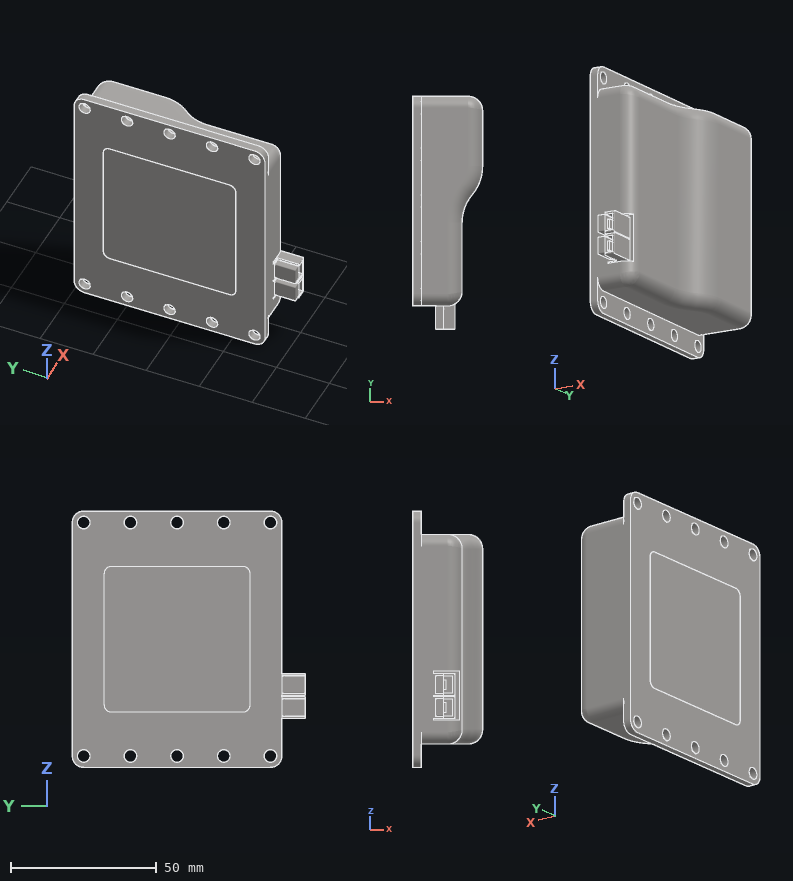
import cadquery as cq
import math

plate_thickness = 3.0
plate_width = 72.0
plate_height = 88.0
corner_radius = 4.0
hole_diameter = 4.2
hole_inset = 4.0
holes_per_row = 5

housing_height = plate_width
thin_depth = 17.0
full_depth = 24.0
rim_radius = 5.0
step_radius = 15.0
thin_length = 28.6

panel_size = 50.0
panel_radius = 2.5
panel_depth = 0.1

window_near = 7.0
window_far = 16.0
window_top = -10.8
window_bottom = -27.6
window_depth = 2.2

connector_reach = 8.0
unit_height = 7.6
unit_gap = 0.3
connector_top = -11.8
tongue_near = 7.7
tongue_height = 6.2
tip_edge_radius = 0.33
hood_near = 10.6
hood_far = 14.5
hood_wall = 0.9
cavity_depth = 7.0
blade_thickness = 0.8
blade_height = 3.3
blade_setback = 1.8

wall_y = -plate_width / 2
connector_tip = wall_y - connector_reach
window_floor = wall_y + window_depth


def block(x_range, y_range, z_range):
    """Axis-aligned block between pairs of limits given low to high."""
    sizes = [high - low for low, high in (x_range, y_range, z_range)]
    corner = (x_range[0], y_range[0], z_range[0])
    return cq.Workplane("XY").box(*sizes, centered=False).translate(corner)


def centered_span(center, length):
    return (center - length / 2, center + length / 2)


def make_plate():
    plate = (
        cq.Workplane("YZ")
        .rect(plate_width, plate_height)
        .extrude(plate_thickness)
        .edges("|X")
        .fillet(corner_radius)
    )
    pitch = (plate_width - 2 * hole_inset) / (holes_per_row - 1)
    row_spacing = plate_height - 2 * hole_inset
    holes = (
        cq.Workplane("YZ")
        .rarray(pitch, row_spacing, holes_per_row, 2)
        .circle(hole_diameter / 2)
        .extrude(plate_thickness)
    )
    panel = (
        cq.Workplane("YZ")
        .rect(panel_size, panel_size)
        .extrude(panel_depth)
        .edges("|X")
        .fillet(panel_radius)
    )
    return plate.cut(holes).cut(panel)


def make_housing():
    """Box whose depth steps up toward +Y through two tangent arcs."""
    half_width = plate_width / 2
    rise = full_depth - thin_depth
    sweep = math.acos(1 - rise / (2 * step_radius))
    step_start = thin_length - half_width
    half_run = step_radius * math.sin(sweep)
    arc_run = step_radius * math.sin(sweep / 2)
    arc_rise = step_radius * (1 - math.cos(sweep / 2))
    middle = (thin_depth + rise / 2, step_start + half_run)
    step_end = step_start + 2 * half_run
    profile = (
        cq.Workplane("XY")
        .workplane(offset=-housing_height / 2)
        .moveTo(plate_thickness, -half_width)
        .lineTo(thin_depth, -half_width)
        .lineTo(thin_depth, step_start)
        .threePointArc((thin_depth + arc_rise, step_start + arc_run), middle)
        .threePointArc((full_depth - arc_rise, step_end - arc_run), (full_depth, step_end))
        .lineTo(full_depth, half_width)
        .lineTo(plate_thickness, half_width)
        .close()
    )
    housing = profile.extrude(housing_height)
    rounded = housing.edges("|X").fillet(corner_radius)
    return rounded.faces(">X").edges().fillet(rim_radius)


def make_connector_unit(center_z):
    """One unit: base in the window, rounded tongue, open hood and contact blade."""
    unit_z = centered_span(center_z, unit_height)
    base = block((window_near, hood_far), (wall_y, window_floor), unit_z)
    hood = block((hood_near, hood_far), (connector_tip, window_floor), unit_z)
    hood = hood.edges("<Y and (not <X)").fillet(tip_edge_radius)
    cavity = block(
        (hood_near, hood_far - hood_wall),
        (connector_tip, connector_tip + cavity_depth),
        centered_span(center_z, unit_height - 2 * hood_wall),
    )
    tongue = (
        block(
            (tongue_near, hood_near),
            (connector_tip, wall_y),
            centered_span(center_z, tongue_height),
        )
        .edges("(<X or <Y) and (not >X)")
        .fillet(tip_edge_radius)
    )
    blade = block(
        (hood_near, hood_near + blade_thickness),
        (connector_tip + blade_setback, wall_y),
        centered_span(center_z, blade_height),
    )
    return base.union(hood.cut(cavity)).union(tongue).union(blade)


window = block((window_near, window_far), (wall_y, window_floor), (window_bottom, window_top))
result = make_plate().union(make_housing()).cut(window)

unit_pitch = unit_height + unit_gap
top_unit_z = connector_top - unit_height / 2
for center_z in (top_unit_z, top_unit_z - unit_pitch):
    result = result.union(make_connector_unit(center_z))